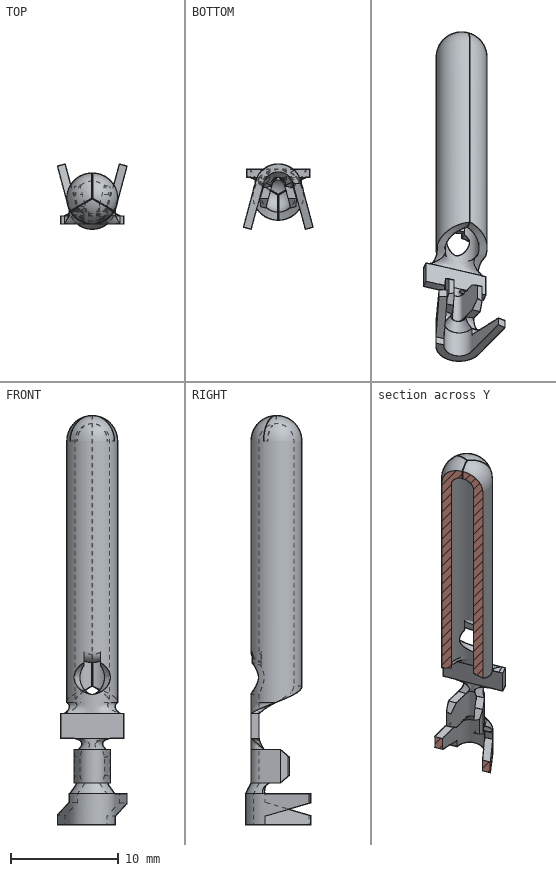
import cadquery as cq
import math

sheet = 0.76
total_length = 38.1

barrel_radius = 2.38
bore_radius = barrel_radius - sheet
barrel_bottom = 11.4
dome_center = total_length - barrel_radius
seam_gap = 0.05
trim_rise = 0.96
petal_count = 3

window_radius = 1.58
window_center = 13.72
tongue_width = 1.55
tongue_bend_start = 16.08
tongue_bend_axis_y = -1.4

plate_width = 5.9
plate_bottom = 8.04
plate_top = 10.36
floor_y = -barrel_radius

conductor_radius = 1.27
conductor_bottom = 3.88
conductor_top = 7.03
conductor_arm_top = 1.23
conductor_bevel_length = 0.7
conductor_tip_thickness = 0.5
conductor_corner = 0.75

insulation_radius = 2.175
insulation_length = 2.9
insulation_floor_y = -2.88
insulation_half_width = 3.25
wing_root_y = -1.07
wing_root_height = 2.1
wing_tip_height = 0.85

flat_rise = 0.03
barrel_flare_half_width = 2.6
barrel_waist_z = 11.0
barrel_waist_half_width = 2.14
barrel_waist_edge_y = -1.1

neck_root_edge_y = -1.2
neck_waist_z = 7.55
neck_waist_half_width = 0.98
neck_waist_edge_y = -1.75
neck_flare_half_width = 1.7

funnel_middle_half_width = 1.75
funnel_middle_edge_y = -1.22
funnel_top_half_width = 1.43
funnel_top_edge_y = -0.65

arm_angle = math.radians(15)
arm_sin = math.sin(arm_angle)
arm_cos = math.cos(arm_angle)

margin = 1.0


def box_between(x_range, y_range, z_range):
    """Axis-aligned box given by its limits."""
    lows, highs = zip(x_range, y_range, z_range)
    sizes = [high - low for low, high in zip(lows, highs)]
    return cq.Workplane("XY").box(*sizes, centered=False).translate(lows)


def side_prism(points, x_start, x_end):
    """Polygon of (Y, Z) points extruded along X."""
    return cq.Workplane("YZ", origin=(x_start, 0, 0)).polyline(points).close().extrude(x_end - x_start)


def make_barrel():
    """Hollow barrel with a hemispherical closed end."""
    def capsule(radius):
        return (
            cq.Workplane("XZ")
            .moveTo(0, barrel_bottom)
            .lineTo(radius, barrel_bottom)
            .lineTo(radius, dome_center)
            .radiusArc((0, dome_center + radius), -radius)
            .close()
            .revolve(360, (0, 0, 0), (0, 1, 0))
        )

    return capsule(barrel_radius).cut(capsule(bore_radius))


def trim_cutter():
    """Removes the rear of the barrel mouth below two helical sheet edges that rise to the seam."""
    reach = 3 * barrel_radius
    height = trim_rise * math.pi / 2
    quarter = (
        cq.Workplane("XY", origin=(0, 0, barrel_bottom))
        .polyline([(0, 0), (reach, 0), (0, reach)])
        .close()
        .twistExtrude(height, 90)
    )
    side = quarter.intersect(
        box_between((0, reach), (0, reach), (barrel_bottom, barrel_bottom + height))
    )
    return side.union(side.mirror("YZ"))


def seam_cutters():
    """Rear seam along the barrel and the gaps between the dome petals."""
    cutters = []
    for index in range(petal_count):
        start_z = barrel_bottom - margin if index == 0 else dome_center
        slit = box_between(
            (-seam_gap / 2, seam_gap / 2), (0, barrel_radius + margin), (start_z, total_length + margin)
        )
        cutters.append(slit.rotate((0, 0, 0), (0, 0, 1), index * 360 / petal_count))
    return cutters


def window_cutter():
    """Window whose walls stay normal to the rolled sheet, so it narrows toward the axis."""
    neutral_radius = barrel_radius - sheet / 2
    outline_points = 24

    def outline(depth):
        points = []
        for index in range(outline_points):
            turn = 2 * math.pi * index / outline_points
            angle_around = window_radius * math.cos(turn) / neutral_radius
            points.append((depth * math.tan(angle_around), window_radius * math.sin(turn)))
        plane = cq.Workplane("XZ", origin=(0, -depth, window_center))
        return plane.spline(points, periodic=True).wire().val()

    near_wire = outline(bore_radius / 3)
    far_wire = outline(barrel_radius + margin)
    return cq.Workplane(obj=cq.Solid.makeLoft([near_wire, far_wire], True))


def tongue_slot():
    """Gap left in the barrel wall above the window by the inward-bent tongue."""
    half = tongue_width / 2
    return box_between((-half, half), (-barrel_radius - margin, 0), (window_center, tongue_bend_start))


def make_tongue():
    """Strip of barrel wall bent a quarter turn into the bore."""
    half = tongue_width / 2
    outer_y = -math.sqrt(barrel_radius**2 - half**2)
    inner_y = -math.sqrt(bore_radius**2 - half**2)
    return (
        cq.Workplane("XY", origin=(0, 0, tongue_bend_start))
        .moveTo(-half, outer_y)
        .threePointArc((0, -barrel_radius), (half, outer_y))
        .lineTo(half, inner_y)
        .threePointArc((0, -bore_radius), (-half, inner_y))
        .close()
        .revolve(90, (0, tongue_bend_axis_y, 0), (1, tongue_bend_axis_y, 0))
    )


def make_plate():
    """Flat stop plate."""
    half = plate_width / 2
    return box_between((-half, half), (floor_y, floor_y + sheet), (plate_bottom, plate_top))


def make_channel(radius, bottom_y, arm_length, bottom_z, top_z, taper_length=0.0, tip_thickness=sheet):
    """U channel with a round floor and straight arms leaning outward, optionally thinned at the ends."""
    center_y = bottom_y + radius

    def arm_point(depth, along):
        reach = radius - depth
        return (reach * arm_cos + along * arm_sin, center_y - reach * arm_sin + along * arm_cos)

    right = [arm_point(0, 0)]
    if taper_length > 0:
        right.append(arm_point(0, arm_length - taper_length))
    right += [
        arm_point(sheet - tip_thickness, arm_length),
        arm_point(sheet, arm_length),
        arm_point(sheet, 0),
    ]
    left = [(-x, y) for x, y in reversed(right)]

    outline = cq.Workplane("XY", origin=(0, 0, bottom_z)).moveTo(*right[0])
    for point in right[1:]:
        outline = outline.lineTo(*point)
    outline = outline.threePointArc((0, bottom_y + sheet), left[0])
    for point in left[1:]:
        outline = outline.lineTo(*point)
    outline = outline.threePointArc((0, bottom_y), right[0]).close()
    return outline.extrude(top_z - bottom_z)


def make_conductor_crimp():
    """Upper crimp with tapered arm ends and cut corners."""
    root_y = floor_y + conductor_radius * (1 - arm_sin)
    arm_length = (conductor_arm_top - root_y - sheet * arm_sin) / arm_cos
    crimp = make_channel(
        conductor_radius, floor_y, arm_length, conductor_bottom, conductor_top,
        conductor_bevel_length, conductor_tip_thickness,
    )
    corner_y = conductor_arm_top - sheet * arm_sin - conductor_bevel_length * arm_cos
    far_y = conductor_arm_top + margin
    slope = conductor_corner / (conductor_arm_top - corner_y)
    far_rise = slope * (far_y - corner_y)
    for end_z, inward in ((conductor_bottom, 1), (conductor_top, -1)):
        corner = [(corner_y, end_z), (far_y, end_z), (far_y, end_z + inward * far_rise)]
        crimp = crimp.cut(side_prism(corner, -insulation_half_width, insulation_half_width))
    return crimp


def make_insulation_crimp():
    """Lower crimp whose two pointed wings are mirrored end for end, so that they interleave."""
    root_x = insulation_radius * arm_cos
    arm_length = (insulation_half_width - root_x) / arm_sin
    crimp = make_channel(insulation_radius, insulation_floor_y, arm_length, 0, insulation_length)

    tip_y = insulation_floor_y + insulation_radius * (1 - arm_sin) + arm_length * arm_cos + sheet * arm_sin
    far_x = insulation_half_width + margin
    left_waste = [
        (wing_root_y, insulation_length),
        (wing_root_y, wing_root_height),
        (tip_y, wing_tip_height),
        (tip_y, insulation_length),
    ]
    right_waste = [(y, insulation_length - z) for y, z in left_waste]
    return crimp.cut(side_prism(left_waste, -far_x, 0)).cut(side_prism(right_waste, 0, far_x))


def strip_wire(z, bottom_y, half_width, edge_y):
    """Cross-section of the curved sheet: outer arc through the bottom and both edges, offset inward."""
    rise = edge_y - bottom_y
    radius = (half_width**2 + rise**2) / (2 * rise)
    center_y = bottom_y + radius
    shrink = (radius - sheet) / radius
    inner_x = half_width * shrink
    inner_y = center_y + (edge_y - center_y) * shrink
    return (
        cq.Workplane("XY", origin=(0, 0, z))
        .moveTo(-half_width, edge_y)
        .threePointArc((0, bottom_y), (half_width, edge_y))
        .lineTo(inner_x, inner_y)
        .threePointArc((0, bottom_y + sheet), (-inner_x, inner_y))
        .close()
        .val()
    )


def make_transition(sections):
    """Sheet blending through a series of (Z, bottom Y, half width, edge Y) cross-sections."""
    wires = [strip_wire(*section) for section in sections]
    return cq.Workplane(obj=cq.Solid.makeLoft(wires, False))


def make_barrel_transition():
    """Necked sheet from the flat plate up to the half-round front of the barrel mouth."""
    return make_transition([
        (plate_top, floor_y, barrel_flare_half_width, floor_y + flat_rise),
        (barrel_waist_z, floor_y, barrel_waist_half_width, barrel_waist_edge_y),
        (barrel_bottom, floor_y, barrel_radius, 0),
    ])


def make_plate_transition():
    """Necked sheet from the conductor crimp up to the flat plate."""
    return make_transition([
        (conductor_top, floor_y, conductor_radius, neck_root_edge_y),
        (neck_waist_z, floor_y, neck_waist_half_width, neck_waist_edge_y),
        (plate_bottom, floor_y, neck_flare_half_width, floor_y + flat_rise),
    ])


def make_crimp_transition():
    """Funnel from the insulation crimp up to the narrower conductor crimp, with a dip in its edges."""
    root_x = insulation_radius * arm_cos
    root_y = insulation_floor_y + insulation_radius * (1 - arm_sin)
    middle_z = (insulation_length + conductor_bottom) / 2
    middle_floor_y = (insulation_floor_y + floor_y) / 2
    return make_transition([
        (insulation_length, insulation_floor_y, root_x, root_y),
        (middle_z, middle_floor_y, funnel_middle_half_width, funnel_middle_edge_y),
        (conductor_bottom, floor_y, funnel_top_half_width, funnel_top_edge_y),
    ])


barrel = make_barrel().cut(trim_cutter()).cut(window_cutter()).cut(tongue_slot())
for seam in seam_cutters():
    barrel = barrel.cut(seam)

result = (
    barrel.union(make_tongue())
    .union(make_barrel_transition())
    .union(make_plate())
    .union(make_plate_transition())
    .union(make_conductor_crimp())
    .union(make_crimp_transition())
    .union(make_insulation_crimp())
)